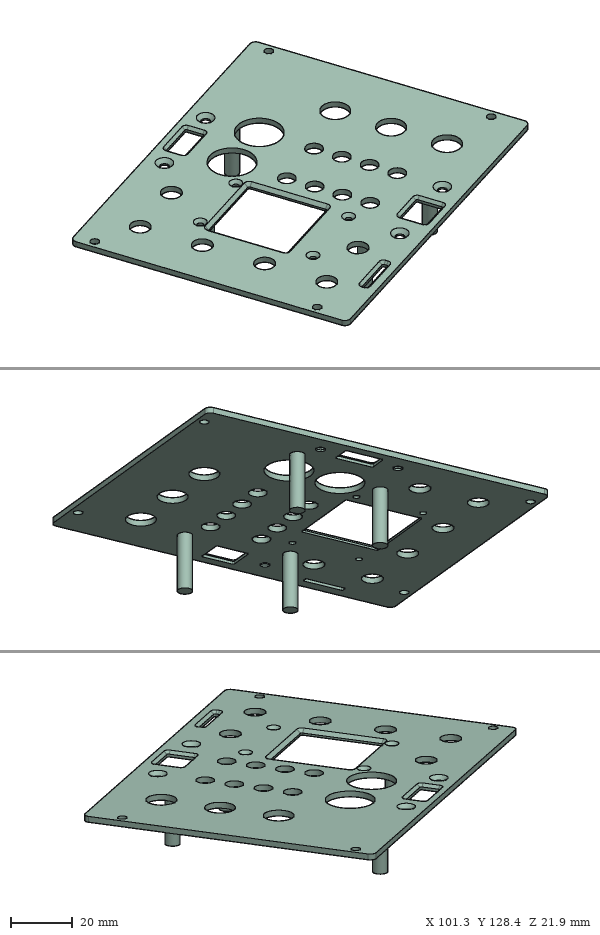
import cadquery as cq

panel_width = 101.3
panel_length = 128.4
panel_thickness = 2.0
panel_corner_radius = 2.0

mount_hole_diameter = 3.1
mount_hole_left = -43.3
mount_hole_spacing = 81.3
mount_hole_edge_distance = 3.0

jack_hole_diameter = 10.0
jack_pitch = 20.4
jack_count = 3
jack_centre_x = 12.0
jack_y = 41.0

row_pitch = 19.1
upper_row_y = 18.6
row_ys = [upper_row_y, upper_row_y - row_pitch]
big_hole_diameter = 16.2
big_hole_x = -24.7
button_hole_diameter = 6.0
button_pitch = 10.1
first_button_x = -4.6
button_count = 4

knob_hole_diameter = 7.0
knob_pitch = 22.7
knob_count = 4
knob_row_y = -47.0
knob_rise = 22.0

window_bevel = 1.0
window_corner_radius = 0.5
socket_y = 3.5
left_socket_x = -43.9
left_socket_width = 6.8
left_socket_length = 14.0
right_socket_x = 42.4
right_socket_width = 9.6
right_socket_length = 12.1
slot_x = 45.8
slot_y = -35.8
slot_width = 1.9
slot_length = 14.9
display_y = -23.1
display_size = 28.6
display_bevel = 1.3

socket_screw_diameter = 3.2
socket_screw_head_diameter = 6.0
left_screw_spacing = 29.0
right_screw_spacing = 29.9

display_screw_diameter = 2.2
display_screw_head_diameter = 4.5
display_screw_centre_x = 2.6
display_screw_spacing_x = 41.2
display_screw_spacing_y = 25.0

countersink_angle = 90.0

standoff_diameter = 5.0
standoff_length = 19.9
upper_standoff_y = 22.5
lower_standoff_y = -14.5
standoff_points = [
    (-36.6, upper_standoff_y),
    (35.7, upper_standoff_y),
    (-26.6, lower_standoff_y),
    (31.2, lower_standoff_y),
]


def spaced(centre, pitch, count):
    """Return evenly pitched positions that are symmetric about a centre."""
    first = centre - pitch * (count - 1) / 2
    return [first + pitch * i for i in range(count)]


def grid(xs, ys):
    """Return every point that pairs one x with one y."""
    return [(x, y) for x in xs for y in ys]


def cut_round_holes(plate, points, diameter):
    """Cut plain through holes."""
    return plate.faces(">Z").workplane(origin=(0, 0, 0)).pushPoints(points).hole(diameter)


def cut_countersunk_holes(plate, points, diameter, head_diameter):
    """Cut through holes that are countersunk from the top face."""
    face = plate.faces(">Z").workplane(origin=(0, 0, 0)).pushPoints(points)
    return face.cskHole(diameter, head_diameter, countersink_angle)


def rounded_block(width, length, height, corner_radius):
    """Make a block standing on Z = 0 with rounded vertical edges."""
    block = cq.Workplane("XY").box(width, length, height, centered=(True, True, False))
    return block.edges("|Z").fillet(corner_radius)


def cut_window(plate, centre, width, length, bevel):
    """Cut a rounded rectangular opening with a 45 degree bevel at the top face."""
    opening = rounded_block(width, length, panel_thickness, window_corner_radius)
    funnel = rounded_block(
        width + 2 * bevel, length + 2 * bevel, panel_thickness, window_corner_radius + bevel
    )
    funnel = funnel.faces("<Z").edges().chamfer(bevel)
    funnel = funnel.translate((0, 0, panel_thickness - bevel))
    x, y = centre
    return plate.cut(opening.translate((x, y, 0))).cut(funnel.translate((x, y, 0)))


def make_panel():
    """Make the panel plate with all its holes and windows."""
    panel = rounded_block(panel_width, panel_length, panel_thickness, panel_corner_radius)

    mount_y = panel_length / 2 - mount_hole_edge_distance
    mount_xs = [mount_hole_left, mount_hole_left + mount_hole_spacing]
    panel = cut_round_holes(panel, grid(mount_xs, [-mount_y, mount_y]), mount_hole_diameter)

    jack_xs = spaced(jack_centre_x, jack_pitch, jack_count)
    panel = cut_round_holes(panel, grid(jack_xs, [jack_y]), jack_hole_diameter)

    button_xs = [first_button_x + button_pitch * i for i in range(button_count)]
    panel = cut_round_holes(panel, grid([big_hole_x], row_ys), big_hole_diameter)
    panel = cut_round_holes(panel, grid(button_xs, row_ys), button_hole_diameter)

    knob_xs = spaced(0, knob_pitch, knob_count)
    knob_points = grid(knob_xs, [knob_row_y])
    knob_points += grid([knob_xs[0], knob_xs[-1]], [knob_row_y + knob_rise])
    panel = cut_round_holes(panel, knob_points, knob_hole_diameter)

    socket_screw_points = grid([left_socket_x], spaced(socket_y, left_screw_spacing, 2))
    socket_screw_points += grid([right_socket_x], spaced(socket_y, right_screw_spacing, 2))
    panel = cut_countersunk_holes(
        panel, socket_screw_points, socket_screw_diameter, socket_screw_head_diameter
    )

    display_screw_points = grid(
        spaced(display_screw_centre_x, display_screw_spacing_x, 2),
        spaced(display_y, display_screw_spacing_y, 2),
    )
    panel = cut_countersunk_holes(
        panel, display_screw_points, display_screw_diameter, display_screw_head_diameter
    )

    windows = [
        ((left_socket_x, socket_y), left_socket_width, left_socket_length),
        ((right_socket_x, socket_y), right_socket_width, right_socket_length),
        ((slot_x, slot_y), slot_width, slot_length),
    ]
    for centre, width, length in windows:
        panel = cut_window(panel, centre, width, length, window_bevel)
    return cut_window(panel, (0, display_y), display_size, display_size, display_bevel)


def make_standoff(x, y):
    """Make one solid round post that hangs from the panel's underside."""
    return cq.Workplane("XY").center(x, y).circle(standoff_diameter / 2).extrude(-standoff_length)


panel = make_panel()
standoffs = [make_standoff(x, y) for x, y in standoff_points]

result = cq.Compound.makeCompound([panel.solids().val(), *[standoff.val() for standoff in standoffs]])